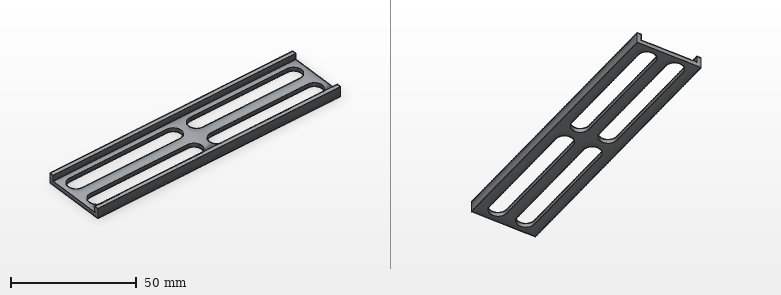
import cadquery as cq

length = 125.0
width = 30.0
height = 5.0
wall = 2.0
floor = 2.0

slot_width = 8.0
slot_length = 58.0
column_spacing = 13.0
end_gap = 4.0
row_spacing = slot_length + end_gap

base = cq.Workplane("XY").box(width, length, height, centered=(True, True, False))
cavity = (
    cq.Workplane("XY")
    .workplane(offset=floor)
    .rect(width - 2 * wall, length)
    .extrude(height - floor)
)
channel = base.cut(cavity)

slots = (
    cq.Workplane("XY")
    .rarray(column_spacing, row_spacing, 2, 2)
    .slot2D(slot_length, slot_width, angle=90)
    .extrude(floor)
)

result = channel.cut(slots)